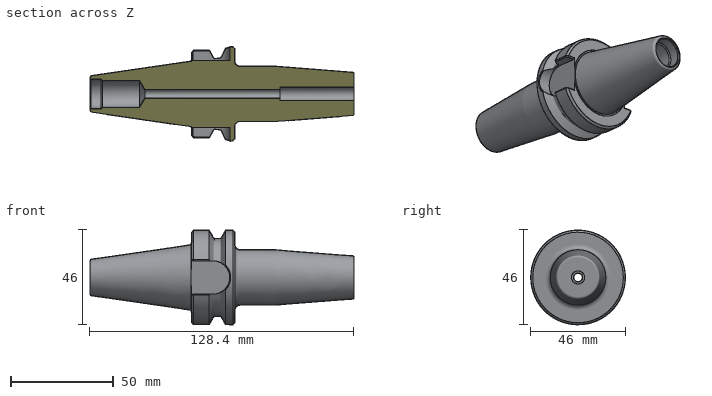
import cadquery as cq
import math


gauge_radius = 31.75 / 2
taper_slope = 7 / 48
shank_length = 48.4
shank_end_fillet = 1.2

flange_radius = 23.0
flange_front = 1.0
collar_front = 0.82
collar_radius = 16.8
flange_back = 22.0
flange_front_chamfer = 1.0
flange_back_chamfer = 1.0
groove_floor_radius = 19.0
groove_floor_fillet = 0.4
groove_floor_width = 3.4
groove_center = 13.55
groove_half_angle = 30.0
groove_flank = (flange_radius - groove_floor_radius) * math.tan(math.radians(groove_half_angle))
groove_start = groove_center - groove_floor_width / 2
groove_end = groove_center + groove_floor_width / 2
groove_rim_start = groove_start - groove_flank
groove_rim_end = groove_end + groove_flank

nose_length = 80.0
nose_radius = 27.0 / 2
nose_tip_radius = 21.0 / 2
nose_taper_angle = 4.5
nose_tip_fillet = 1.0
nose_root_fillet = 2.5

slot_radius = 8.05
slot_arc_center = 11.5
slot_floor = 16.3
wall_chamfer = 0.6
arc_chamfer = 0.4

edge_tolerance = 0.05

mouth_radius = 15.1 / 2
pilot_radius = 14.2 / 2
pilot_depth = 5.5
shank_bore_radius = 13.0 / 2
shank_bore_depth = 24.0
drill_half_angle = 59.0
coolant_radius = 4.13 / 2
tool_bore_radius = 6.35 / 2
tool_bore_depth = 36.0


def revolve_about_axis(profile):
    """Turn a closed (X, radius) profile around the tool axis."""
    return profile.close().revolve(360, (0, 0, 0), (1, 0, 0))


def groove_floor_edges():
    """Selector for the two circles that bound the groove floor."""
    return cq.selectors.BoxSelector(
        (groove_start - edge_tolerance, -flange_radius, -flange_radius),
        (groove_end + edge_tolerance, flange_radius, flange_radius),
        boundingbox=True,
    )


def turned_body():
    """Shank, flange and nose as one revolved solid."""
    shank_end_radius = gauge_radius - shank_length * taper_slope
    shank_base_radius = gauge_radius + collar_front * taper_slope
    nose_taper_length = (nose_radius - nose_tip_radius) / math.tan(math.radians(nose_taper_angle))

    profile = (
        cq.Workplane("XY")
        .moveTo(-shank_length, 0)
        .lineTo(-shank_length, shank_end_radius)
        .lineTo(collar_front, shank_base_radius)
        .lineTo(collar_front, collar_radius)
        .lineTo(flange_front, collar_radius)
        .lineTo(flange_front, flange_radius - flange_front_chamfer)
        .lineTo(flange_front + flange_front_chamfer, flange_radius)
        .lineTo(groove_rim_start, flange_radius)
        .lineTo(groove_start, groove_floor_radius)
        .lineTo(groove_end, groove_floor_radius)
        .lineTo(groove_rim_end, flange_radius)
        .lineTo(flange_back - flange_back_chamfer, flange_radius)
        .lineTo(flange_back, flange_radius - flange_back_chamfer)
        .lineTo(flange_back, nose_radius + nose_root_fillet)
        .radiusArc((flange_back + nose_root_fillet, nose_radius), -nose_root_fillet)
        .lineTo(nose_length - nose_taper_length, nose_radius)
        .lineTo(nose_length, nose_tip_radius)
        .lineTo(nose_length, 0)
    )
    body = revolve_about_axis(profile)
    body = body.faces("<X").edges().fillet(shank_end_fillet)
    body = body.faces(">X").edges().fillet(nose_tip_fillet)
    return body.edges(groove_floor_edges()).fillet(groove_floor_fillet)


def axial_bore():
    """Stepped bore from the shank end through to the tool bore in the nose."""
    mouth_chamfer = mouth_radius - pilot_radius
    pilot_step_chamfer = pilot_radius - shank_bore_radius
    cone_length = (shank_bore_radius - coolant_radius) / math.tan(math.radians(drill_half_angle))
    shank_bore_end = shank_bore_depth - shank_length
    tool_bore_end = nose_length - tool_bore_depth

    profile = (
        cq.Workplane("XY")
        .moveTo(-shank_length, 0)
        .lineTo(-shank_length, mouth_radius)
        .lineTo(-shank_length + mouth_chamfer, pilot_radius)
        .lineTo(-shank_length + pilot_depth, pilot_radius)
        .lineTo(-shank_length + pilot_depth + pilot_step_chamfer, shank_bore_radius)
        .lineTo(shank_bore_end, shank_bore_radius)
        .lineTo(shank_bore_end + cone_length, coolant_radius)
        .lineTo(tool_bore_end, coolant_radius)
        .lineTo(tool_bore_end, tool_bore_radius)
        .lineTo(nose_length, tool_bore_radius)
        .lineTo(nose_length, 0)
    )
    return revolve_about_axis(profile)


def drive_slot(side):
    """Round-ended slot cutter on the side given by the sign of Y."""
    return (
        cq.Workplane("XZ", origin=(0, side * slot_floor, 0))
        .moveTo(0, -slot_radius)
        .lineTo(slot_arc_center, -slot_radius)
        .threePointArc((slot_arc_center + slot_radius, 0), (slot_arc_center, slot_radius))
        .lineTo(0, slot_radius)
        .close()
        .extrude(-side * flange_radius)
    )


def chamfer_slot_walls(body):
    """Break the straight slot walls where they meet the front face and the rim of the front flange."""

    def is_wall_edge(edge):
        box = edge.BoundingBox()
        on_wall = box.zlen < edge_tolerance and abs(abs(edge.Center().z) - slot_radius) < edge_tolerance
        above_floor = abs(edge.Center().y) > slot_floor + edge_tolerance
        return on_wall and above_floor and box.xmax < groove_rim_start + edge_tolerance

    return body.newObject([e for e in body.edges().vals() if is_wall_edge(e)]).chamfer(wall_chamfer)


def chamfer_slot_arcs(body):
    """Break the rim of the rear flange around the round slot ends."""

    def is_arc_rim(edge):
        box = edge.BoundingBox()
        slot_end = slot_arc_center + slot_radius
        at_slot_end = abs(box.xmax - slot_end) < edge_tolerance
        return at_slot_end and max(abs(box.ymin), abs(box.ymax)) > flange_radius - edge_tolerance

    return body.newObject([e for e in body.edges().vals() if is_arc_rim(e)]).chamfer(arc_chamfer)


result = turned_body().cut(axial_bore())
for slot_side in (-1, 1):
    result = result.cut(drive_slot(slot_side))
result = chamfer_slot_walls(result)
result = chamfer_slot_arcs(result)